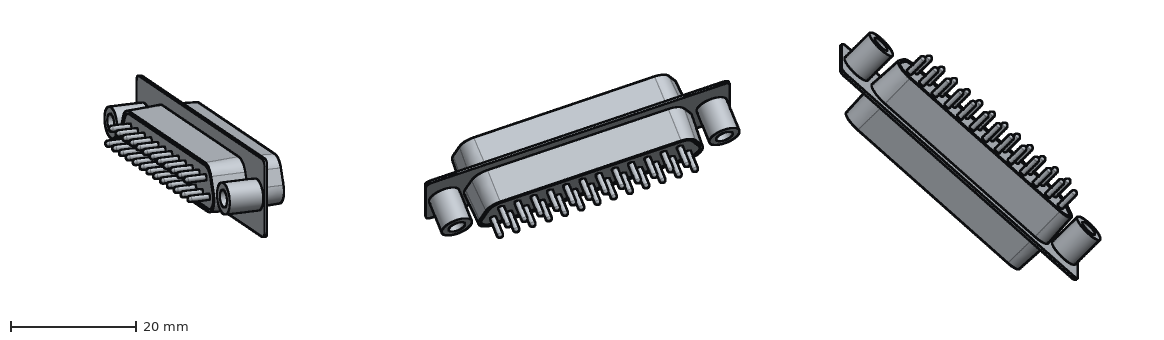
import cadquery as cq
import math

flange_length = 51.85
flange_height = 13.0
flange_thickness = 0.45
flange_corner_radius = 1.0

shell_half_height = 4.25
shell_half_width = 19.45
shell_slant = 22.5
shell_corner_radius = 2.95
shell_draft = 3.0
front_shell_depth = 5.8
rear_shell_depth = 5.85

rim_thickness = 0.45
insulator_recess = 0.1

standoff_spacing = 45.65
standoff_diameter = 5.2
mounting_hole_diameter = 2.85

row_spacing = 2.85
upper_pin_count = 12
lower_pin_count = 13
lower_row_length = 33.25
pin_pitch = lower_row_length / (lower_pin_count - 1)
pin_diameter = 1.05
pin_length = 3.6

shell_front = -front_shell_depth
insulator_face = shell_front + insulator_recess


def facing_front(y):
    """Work plane at the given Y whose normal points toward -Y."""
    return cq.Workplane("XZ", origin=(0, y, 0))


def facing_rear(y):
    """Work plane at the given Y whose normal points toward +Y, keeping Z upward."""
    return cq.Workplane(cq.Plane(origin=(0, y, 0), xDir=(-1, 0, 0), normal=(0, 1, 0)))


def d_outline(inset=0.0):
    """D profile: a trapezoid, wider at the bottom, with rounded corners."""
    slant = math.radians(shell_slant)
    radius = shell_corner_radius - inset
    half_height = shell_half_height - inset
    arc_center_x = shell_half_width - shell_corner_radius
    bottom_x = arc_center_x + radius * (1 + math.sin(slant)) / math.cos(slant)
    top_x = bottom_x - 2 * half_height * math.tan(slant)
    corners = [
        (-bottom_x, -half_height),
        (bottom_x, -half_height),
        (top_x, half_height),
        (-top_x, half_height),
        (-bottom_x, -half_height),
    ]
    return cq.Sketch().polygon(corners).vertices().fillet(radius)


def make_flange():
    plate = facing_rear(0).rect(flange_length, flange_height).extrude(flange_thickness)
    return plate.edges("|Y").fillet(flange_corner_radius)


def make_shells():
    front = facing_front(0).placeSketch(d_outline()).extrude(front_shell_depth, taper=shell_draft)
    rear = (
        facing_rear(flange_thickness)
        .placeSketch(d_outline())
        .extrude(rear_shell_depth, taper=shell_draft)
    )
    return front.union(rear)


def make_recess():
    draft_inset = front_shell_depth * math.tan(math.radians(shell_draft))
    profile = d_outline(draft_inset + rim_thickness)
    return facing_front(insulator_face).placeSketch(profile).extrude(insulator_recess)


def make_pin_row(count, z):
    """Row of pins centred on X = 0, each ending in a hemisphere."""
    pin_radius = pin_diameter / 2
    straight_length = insulator_recess + pin_length - pin_radius
    nose_y = insulator_face - straight_length
    first_x = -pin_pitch * (count - 1) / 2
    places = [(first_x + i * pin_pitch, z) for i in range(count)]
    shafts = facing_front(insulator_face).pushPoints(places).circle(pin_radius).extrude(straight_length)
    noses = facing_front(nose_y).pushPoints(places).sphere(pin_radius)
    return shafts.union(noses)


def make_mounting_cylinders(diameter, rear_y):
    """Cylinders on both mounting axes, from rear_y to the front end of the shell."""
    places = [(-standoff_spacing / 2, 0), (standoff_spacing / 2, 0)]
    return facing_front(rear_y).pushPoints(places).circle(diameter / 2).extrude(rear_y - shell_front)


result = (
    make_flange()
    .union(make_shells())
    .union(make_mounting_cylinders(standoff_diameter, 0))
    .cut(make_mounting_cylinders(mounting_hole_diameter, flange_thickness))
    .cut(make_recess())
    .union(make_pin_row(upper_pin_count, row_spacing / 2))
    .union(make_pin_row(lower_pin_count, -row_spacing / 2))
)